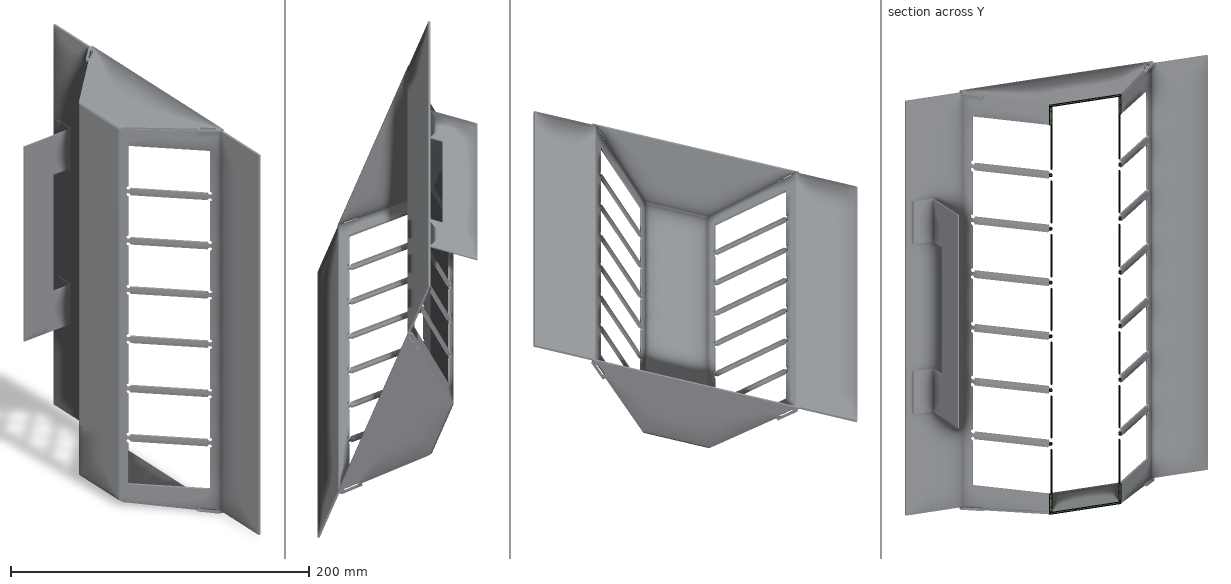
import cadquery as cq
import math

height = 296.0
width = 225.0
depth = 50.0

sheet = 1.5
bend_inner = 1.2
bend_outer = bend_inner + sheet
front_width = 43.8
flange_height = height - 2 * sheet
cap_angle = 4.0

window_height = 261.0
window_near_back = 6.5
window_near_front = 45.5
bar_count = 6
bar_height = 5.0
bar_pitch = (window_height + bar_height) / (bar_count + 1)
relief_radius = 1.5

seam_gap = 0.3
ear_overhang = 2.0
ear_half_width = 71.5
ear_front = 12.5
slot_back = 3.5
slot_front = 11.0
slot_width = 2.0
slot_outer_offset = 0.5

bracket_sheet = 1.0
bracket_bend_inner = 1.0
bracket_bend_outer = bracket_bend_inner + bracket_sheet
bracket_height = 150.5
bracket_foot_height = 30.2
bracket_foot_end_x = -107.5
bracket_plate_x = -92.3
bracket_front = 41.7
bracket_notch_front = 17.0

diagonal = math.sqrt(2)

half_bend_slope = math.tan(math.radians(45 / 2))

clearance = 3.0

cap_slope = math.tan(math.radians(cap_angle))
cap_thickness_z = sheet / math.cos(math.radians(cap_angle))


def wall_x(y):
    """X of the outer face of the +X wall."""
    return front_width / 2 + depth + y


def cap_z(y, below=0.0):
    """Z of the upper end cap's outer face, or of a level below it."""
    return height / 2 + y * cap_slope - below


def both_sides(shape):
    return shape.union(shape.mirror("YZ"))


def both_ends(shape):
    return shape.union(shape.mirror("XY"))


def prism(inset, back_y):
    """Hood cross-section with its front and walls moved inwards, standing full height."""
    front_y = inset - depth
    half_front = front_width / 2 - inset * half_bend_slope
    half_back = half_front + back_y - front_y
    return (
        cq.Workplane("XY")
        .polyline([(-half_front, front_y), (half_front, front_y), (half_back, back_y), (-half_back, back_y)])
        .close()
        .extrude(height, both=True)
    )


def wedge(inset, cap_depth, back_y):
    """Space between two planes parallel to the end caps, across the whole width."""
    front_y = inset - depth
    front_z = cap_z(front_y, cap_depth)
    back_z = cap_z(back_y, cap_depth)
    return (
        cq.Workplane("YZ")
        .polyline([(front_y, -front_z), (front_y, front_z), (back_y, back_z), (back_y, -back_z)])
        .close()
        .extrude(width, both=True)
    )


def hood_block(inset, cap_depth, radius, back_y):
    """Solid hood shape with rounded front edges."""
    section = prism(inset, back_y).faces("<Y").edges("|Z").fillet(radius)
    profile = wedge(inset, cap_depth, back_y).faces("<Y").edges("|X").fillet(radius)
    return section.intersect(profile)


def make_flange_bends():
    """Concave fillets where the flanges meet the walls."""
    corner_x = wall_x(-sheet)
    tangent = bend_inner * half_bend_slope
    bend = (
        cq.Workplane("XY")
        .moveTo(corner_x, -sheet)
        .lineTo(corner_x + tangent, -sheet)
        .radiusArc((corner_x - tangent / diagonal, -sheet - tangent / diagonal), -bend_inner)
        .close()
        .extrude(flange_height / 2, both=True)
    )
    return both_sides(bend)


def make_seams():
    """Thin gaps that part the walls and flanges from the end caps."""
    seam_top = cap_thickness_z
    seam_bottom = cap_thickness_z + seam_gap
    layer = (
        cq.Workplane("YZ")
        .polyline([
            (-depth, cap_z(-depth, seam_top)),
            (0, cap_z(0, seam_top)),
            (0, cap_z(0, seam_bottom)),
            (-depth, cap_z(-depth, seam_bottom)),
        ])
        .close()
        .extrude(ear_half_width, both=True)
    )
    front_panel = cq.Workplane("XY").box(front_width, 2 * depth, 2 * height)
    return both_ends(layer.cut(prism(sheet, clearance)).cut(front_panel))


def make_ears():
    """Parts of the end caps that reach out past the walls next to the flanges."""
    overhang = ear_overhang / diagonal
    front_x = wall_x(-ear_front)
    side_y = ear_half_width - wall_x(0) - ear_overhang * diagonal
    outline = (
        cq.Workplane("XY")
        .polyline([
            (front_x - overhang, -ear_front + overhang),
            (front_x + overhang, -ear_front - overhang),
            (ear_half_width, side_y),
            (ear_half_width, 0),
            (wall_x(0) - overhang, 0),
        ])
        .close()
        .extrude(height, both=True)
    )
    cap_layers = wedge(0, 0, 0).cut(wedge(0, cap_thickness_z, 0))
    return both_sides(outline.intersect(cap_layers))


def make_slots():
    """Slots through the end caps above the back ends of the walls."""
    middle_y = -(slot_back + slot_front) / 2
    inward = slot_width / 2 - slot_outer_offset
    along_wall = cq.Plane(origin=(wall_x(middle_y), middle_y, 0), xDir=(1, 1, 0), normal=(0, 0, 1))
    slot = (
        cq.Workplane(along_wall)
        .workplane(offset=cap_z(-slot_front, cap_thickness_z))
        .center(0, inward)
        .rect((slot_front - slot_back) * diagonal, slot_width)
        .extrude(sheet + clearance)
    )
    return both_ends(both_sides(slot))


def make_windows():
    """Window openings in both walls, with the bars left standing."""
    middle_y = -(window_near_back + window_near_front) / 2
    length = (window_near_front - window_near_back) * diagonal
    wall_plane = cq.Plane(origin=(wall_x(middle_y), middle_y, 0), xDir=(1, 1, 0), normal=(1, -1, 0))
    reach = sheet + clearance

    bar_levels = [(i - (bar_count - 1) / 2) * bar_pitch for i in range(bar_count)]
    relief_points = [
        (end * length / 2, level + edge * bar_height / 2)
        for level in bar_levels
        for end in (-1, 1)
        for edge in (-1, 1)
    ]
    bars = (
        cq.Workplane(wall_plane)
        .pushPoints([(0, level) for level in bar_levels])
        .rect(length, bar_height)
        .extrude(reach, both=True)
    )
    reliefs = (
        cq.Workplane(wall_plane)
        .pushPoints(relief_points)
        .circle(relief_radius)
        .extrude(reach, both=True)
    )
    opening = cq.Workplane(wall_plane).rect(length, window_height).extrude(reach, both=True)
    return both_sides(opening.cut(bars).union(reliefs))


def make_hood():
    flanges = cq.Workplane("XY").box(width, sheet, flange_height).translate((0, -sheet / 2, 0))
    return (
        hood_block(0, 0, bend_outer, 0)
        .union(flanges)
        .union(make_flange_bends())
        .cut(hood_block(sheet, cap_thickness_z, bend_inner, clearance))
        .cut(make_seams())
        .union(make_ears())
        .cut(make_slots())
        .cut(make_windows())
    )


def make_bracket():
    foot_back = -sheet
    foot_front = foot_back - bracket_sheet
    bend_front = foot_back - bracket_bend_outer
    bend_x = bracket_plate_x - bracket_bend_outer
    plate_inner_x = bracket_plate_x - bracket_sheet
    angle = (
        cq.Workplane("XY")
        .moveTo(bracket_foot_end_x, foot_back)
        .lineTo(bend_x, foot_back)
        .radiusArc((bracket_plate_x, bend_front), bracket_bend_outer)
        .lineTo(bracket_plate_x, -bracket_front)
        .lineTo(plate_inner_x, -bracket_front)
        .lineTo(plate_inner_x, bend_front)
        .radiusArc((bend_x, foot_front), -bracket_bend_inner)
        .lineTo(bracket_foot_end_x, foot_front)
        .close()
        .extrude(bracket_height / 2, both=True)
    )
    notch_height = bracket_height - 2 * bracket_foot_height
    notch = cq.Workplane("XY").box(width, 2 * bracket_notch_front, notch_height)
    return angle.cut(notch)


hood = make_hood()
bracket = make_bracket()
result = cq.Compound.makeCompound([*hood.solids().vals(), *bracket.solids().vals()])